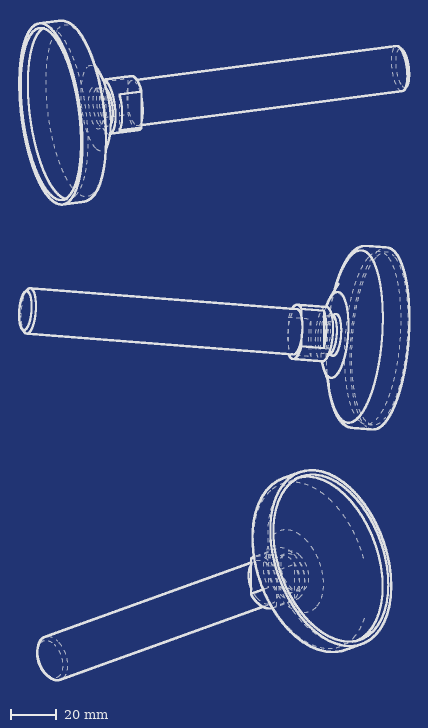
import cadquery as cq
import math

total_length = 164.0

pad_diameter = 80.0
pad_rim_height = 9.5
pad_edge_radius = 2.1
pad_top_diameter = 37.7
pad_height = 21.0
flank_sag = 0.7
recess_diameter = 76.0
recess_depth = 3.3

neck_diameter = 17.0
neck_base_diameter = 18.4
neck_flare_end = 22.8
collar_diameter = 24.0
collar_start = 25.7
collar_end = 39.2
flat_start = 28.9
across_flats = 17.0
rod_diameter = 20.0
rod_chamfer = 1.5


def make_pad():
    """Revolved pad with a rounded rim, hollow flank and recessed underside."""
    rim_radius = pad_diameter / 2
    recess_radius = recess_diameter / 2
    top_radius = pad_top_diameter / 2
    flank_radius = rim_radius - pad_edge_radius
    flank_base = pad_rim_height + pad_edge_radius

    flank_run = flank_radius - top_radius
    flank_rise = pad_height - flank_base
    chord = math.hypot(flank_run, flank_rise)
    flank_middle = (
        (flank_radius + top_radius) / 2 - flank_sag * flank_rise / chord,
        (flank_base + pad_height) / 2 - flank_sag * flank_run / chord,
    )
    edge_offset = pad_edge_radius * math.sqrt(0.5)
    edge_middle = (flank_radius + edge_offset, pad_rim_height + edge_offset)

    return (
        cq.Workplane("XY")
        .moveTo(0, recess_depth)
        .lineTo(recess_radius, recess_depth)
        .lineTo(recess_radius, 0)
        .lineTo(rim_radius, 0)
        .lineTo(rim_radius, pad_rim_height)
        .threePointArc(edge_middle, (flank_radius, flank_base))
        .threePointArc(flank_middle, (top_radius, pad_height))
        .lineTo(0, pad_height)
        .close()
        .revolve(360, (0, 0, 0), (0, 1, 0))
    )


def make_stem():
    """Revolved neck, collar and chamfered rod, seated on top of the pad."""
    neck_radius = neck_diameter / 2
    collar_radius = collar_diameter / 2
    rod_radius = rod_diameter / 2
    profile = [
        (0, pad_height),
        (neck_base_diameter / 2, pad_height),
        (neck_radius, neck_flare_end),
        (neck_radius, collar_start),
        (collar_radius, collar_start),
        (collar_radius, collar_end),
        (rod_radius, collar_end),
        (rod_radius, total_length - rod_chamfer),
        (rod_radius - rod_chamfer, total_length),
        (0, total_length),
    ]
    return cq.Workplane("XY").polyline(profile).close().revolve(360, (0, 0, 0), (0, 1, 0))


def cut_wrench_flats(stem):
    """Cut two opposite flats into the collar, leaving a full ring below them."""
    flat_length = collar_end - flat_start
    cutter = cq.Workplane("XY").box(collar_diameter, flat_length, collar_diameter)
    for side in (-1, 1):
        offset = side * (across_flats + collar_diameter) / 2
        stem = stem.cut(cutter.translate((offset, flat_start + flat_length / 2, 0)))
    return stem


result = make_pad().union(cut_wrench_flats(make_stem()))